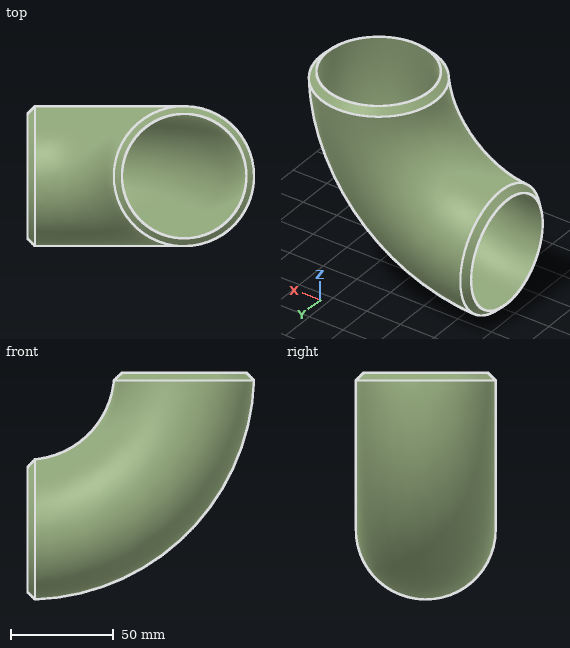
import cadquery as cq
import math

overall_length = 110.2
outer_radius = 34.0
inner_radius = 30.2
bevel_size = 3.7
bend_angle = 90

outer_bend_radius = math.hypot(overall_length, bevel_size)
bend_radius = outer_bend_radius - outer_radius


def bent_rod(radius):
    """Round rod bent about the Y axis, running from the plane Z = 0 down to the plane X = 0."""
    return (
        cq.Workplane("XY")
        .center(bend_radius, 0)
        .circle(radius)
        .revolve(bend_angle, (-bend_radius, 0, 0), (-bend_radius, 1, 0))
    )


bevelled_body = bent_rod(outer_radius).faces(">Z or <X").edges().chamfer(bevel_size)

result = bevelled_body.cut(bent_rod(inner_radius))